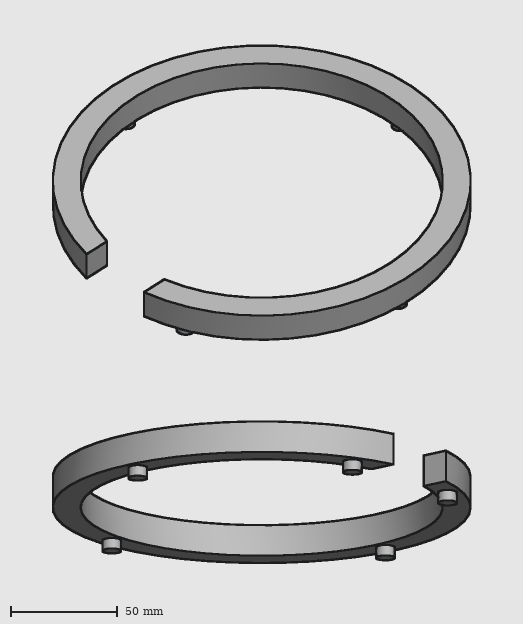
import cadquery as cq
import math

outer_radius = 98.0
inner_radius = 84.9
total_height = 20.0
pin_length = 5.0
ring_height = total_height - pin_length
gap_width = 38.5

pin_diameter = 8.8
pin_circle_radius = 91.1
gap_pin_offset = 22.6
gap_direction = 270
pin_angles = [0, 90, 180, gap_direction - gap_pin_offset, gap_direction + gap_pin_offset]


def split_ring():
    """Flat ring with a parallel-sided gap opening toward -Y."""
    ring = cq.Workplane("XY").circle(outer_radius).circle(inner_radius).extrude(ring_height)
    gap = (
        cq.Workplane("XY")
        .rect(gap_width, 2 * outer_radius)
        .extrude(ring_height)
        .translate((0, -outer_radius, 0))
    )
    return ring.cut(gap)


def locating_pins():
    """Round pins hanging below the ring, reaching up to its underside."""
    centres = [
        (
            pin_circle_radius * math.cos(math.radians(angle)),
            pin_circle_radius * math.sin(math.radians(angle)),
        )
        for angle in pin_angles
    ]
    return cq.Workplane("XY").pushPoints(centres).circle(pin_diameter / 2).extrude(-pin_length)


result = split_ring().union(locating_pins())